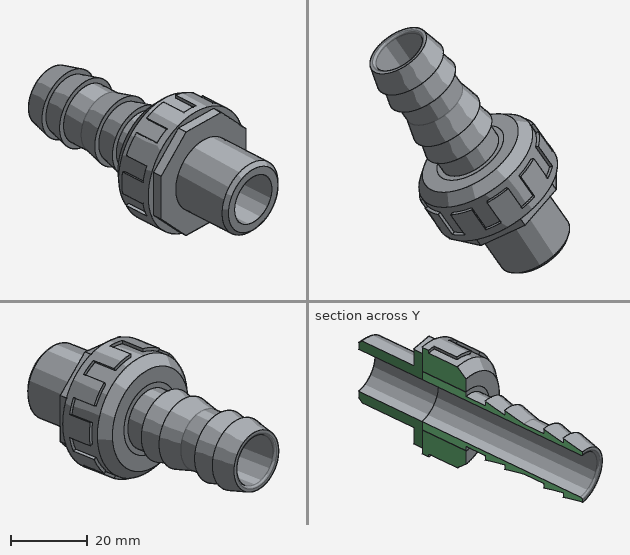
import cadquery as cq
import math

TOTAL_LENGTH = 73.0
BORE_RADIUS = 7.0
MOUTH_FILLET = 0.65

TUBE_RADIUS = 17.0 / 2
BARB_RADIUS = 10.0
BARB_LENGTH = 6.35
BARB_STEPS = (0, 1, 3, 4)

NUT_START = 37.95
NUT_END = 52.35
NUT_BODY_RADIUS = 17.1
NUT_FACE_RADIUS = 14.4
NUT_CHAMFER_LENGTH = 2.85
GRIP_RADIUS = 36.0 / 2
GRIP_START = 42.8
NOTCH_COUNT = 10
NOTCH_LENGTH = 7.4
NOTCH_WIDTH = 4.6

OCTAGON_SIDES = 8
OCTAGON_FLATS = 32.0
OCTAGON_LENGTH = 2.8
PIPE_RADIUS = 10.5
PIPE_CHAMFER = 1.2


def disc(start, end, radius):
    """Solid cylinder along X from start to end."""
    return cq.Workplane("YZ").workplane(offset=start).circle(radius).extrude(end - start)


def barb(start):
    """Cone that widens along X from the tube radius to the barb radius."""
    return (
        cq.Workplane("XY")
        .moveTo(start, 0)
        .lineTo(start, TUBE_RADIUS)
        .lineTo(start + BARB_LENGTH, BARB_RADIUS)
        .lineTo(start + BARB_LENGTH, 0)
        .close()
        .revolve(360, (0, 0, 0), (1, 0, 0))
    )


def make_hose_tail():
    """Barbed tube whose collar fills the hole of the nut."""
    tail = disc(0, NUT_START, TUBE_RADIUS).union(disc(NUT_START, NUT_END, BARB_RADIUS))
    for step in BARB_STEPS:
        tail = tail.union(barb(step * BARB_LENGTH))
    tail = tail.cut(disc(0, NUT_END, BORE_RADIUS))
    bore_edge = cq.selectors.RadiusNthSelector(0)
    return tail.faces("<X").edges(bore_edge).fillet(MOUTH_FILLET)


def grip_notch(angle):
    """Radial block with parallel sides that clears one notch from the hose-side edge of the grip."""
    return (
        cq.Workplane("XY")
        .box(NOTCH_LENGTH, NOTCH_WIDTH, GRIP_RADIUS, centered=(False, True, False))
        .translate((GRIP_START, 0, 0))
        .rotate((0, 0, 0), (1, 0, 0), angle)
    )


def make_nut():
    """Round nut with a chamfered front and a raised grip band cut by notches."""
    body = (
        cq.Workplane("XY")
        .moveTo(NUT_START, 0)
        .lineTo(NUT_START, NUT_FACE_RADIUS)
        .lineTo(NUT_START + NUT_CHAMFER_LENGTH, NUT_BODY_RADIUS)
        .lineTo(NUT_END, NUT_BODY_RADIUS)
        .lineTo(NUT_END, 0)
        .close()
        .revolve(360, (0, 0, 0), (1, 0, 0))
    )
    grip = disc(GRIP_START, NUT_END, GRIP_RADIUS)
    for index in range(NOTCH_COUNT):
        grip = grip.cut(grip_notch(index * 360 / NOTCH_COUNT))
    return body.union(grip).cut(disc(NUT_START, NUT_END, BARB_RADIUS))


def make_pipe_end():
    """Octagonal flange against the nut with a plain pipe chamfered at its free end."""
    corner_diameter = OCTAGON_FLATS / math.cos(math.pi / OCTAGON_SIDES)
    flange = (
        cq.Workplane("YZ")
        .workplane(offset=NUT_END)
        .transformed(rotate=(0, 0, 180 / OCTAGON_SIDES))
        .polygon(OCTAGON_SIDES, corner_diameter)
        .extrude(OCTAGON_LENGTH)
    )
    pipe = (
        disc(NUT_END, TOTAL_LENGTH, PIPE_RADIUS)
        .faces(">X")
        .chamfer(PIPE_CHAMFER)
    )
    return flange.union(pipe).cut(disc(NUT_END, TOTAL_LENGTH, BORE_RADIUS))


hose_tail = make_hose_tail()
nut = make_nut()
pipe_end = make_pipe_end()

result = cq.Compound.makeCompound([hose_tail.val(), nut.val(), pipe_end.val()])